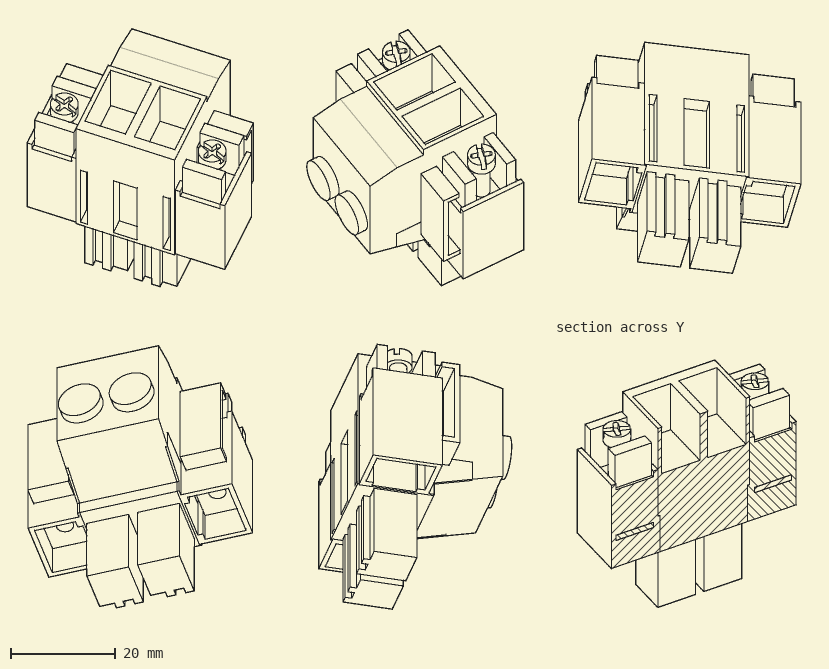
import cadquery as cq


pole_count = 2
pole_pitch = 10.15
pole_width = 8.35
housing_half_width = pole_count * pole_pitch / 2
side_wall = (pole_pitch - pole_width) / 2
pole_centres = [(i - (pole_count - 1) / 2) * pole_pitch for i in range(pole_count)]

overall_height = 44.1
prong_length = 14.4
housing_height = overall_height - prong_length
housing_depth = 28.58
head_depth = 16.5
shoulder_height = 28.1
shoulder_depth = 22.45
back_top = 26.5
back_bottom = 6.45
foot_depth = 15.1
foot_height = 2.6

pocket_front = 2.35
pocket_back = 15.52
pocket_depth = 11.02

slot_bottom = 0.93
slot_top = 17.1
slot_depth = 3.05
side_slot_width = 1.45
centre_slot_width = 4.9

collar_height = 14.2
collar_projection = 2.05

prong_front = 2.15
prong_back = 11.9
prong_rib_width = 1.7
prong_groove_width = 1.95
prong_groove_depth = 1.3

flange_half_span = 20.35
flange_front = 0.3
flange_back = 14.0
flange_height = 19.95
flange_wall = 1.0
post_depth = 2.5
notch_floor = 18.5
plate_thickness = 0.45
plate_back = 22.6
plate_top = 8.65

latch_clearance = 0.1
latch_inner_x = housing_half_width + flange_wall
latch_outer_x = flange_half_span - flange_wall - latch_clearance
latch_front = flange_front + flange_wall + latch_clearance
latch_back = flange_back - flange_wall - latch_clearance
latch_top = 26.25
latch_groove_floor = 16.45
front_leg = 2.07
back_leg = 2.55
hook_thickness = 1.1
hook_bottom = 6.45
hook_top = 24.35
hook_back = 17.75
hook_lip_front = 14.2

screw_x = (latch_inner_x + latch_outer_x) / 2
screw_y = 6.6
head_diameter = 5.3
head_top = 27.0
head_bottom = 24.35
shank_diameter = 3.3
drive_depth = 1.3
drive_angle = -21.0
drive_root = 0.6
drive_end = 0.5
drive_arm = 1.75
drive_tip = 2.07


def box(x0, x1, y0, y1, z0, z1):
    """Block between two corners, the X limits in either order."""
    return (
        cq.Workplane("XY")
        .box(abs(x1 - x0), y1 - y0, z1 - z0, centered=False)
        .translate((min(x0, x1), y0, z0))
    )


def cylinder_up(x, y, z0, z1, diameter):
    return cq.Workplane("XY").center(x, y).circle(diameter / 2).extrude(z1 - z0).translate((0, 0, z0))


def housing_envelope():
    """Side profile of the housing, extruded over its full width."""
    return (
        cq.Workplane("YZ")
        .polyline([
            (0, 0),
            (0, housing_height),
            (head_depth, housing_height),
            (head_depth, shoulder_height),
            (shoulder_depth, shoulder_height),
            (housing_depth, back_top),
            (housing_depth, back_bottom),
            (foot_depth, foot_height),
            (foot_depth, 0),
        ])
        .close()
        .extrude(housing_half_width, both=True)
    )


def mounting_plate(side):
    """Lower side region of the housing that the flange on that side (-1 or 1) fills."""
    region = box(
        side * (housing_half_width - plate_thickness), side * housing_half_width,
        flange_front, plate_back, 0, plate_top,
    )
    return region.intersect(housing_envelope())


def plug_prong(centre):
    """Plug prong below the housing with two grooves along its front."""
    left = centre - pole_width / 2
    right = centre + pole_width / 2
    groove_back = prong_front + prong_groove_depth
    prong = box(left, right, prong_front, prong_back, -prong_length, 0)
    first_groove = left + prong_rib_width
    second_groove = first_groove + prong_groove_width + prong_rib_width
    for x0, x1 in [(first_groove, first_groove + prong_groove_width), (second_groove, right)]:
        prong = prong.cut(box(x0, x1, prong_front, groove_back, -prong_length, 0))
    return prong


def front_slots():
    """One wide slot at the middle of the front and a narrow one at each side."""
    slot_outer = housing_half_width - side_wall
    slots = box(-centre_slot_width / 2, centre_slot_width / 2, 0, slot_depth, slot_bottom, slot_top)
    for side in (-1, 1):
        slots = slots.union(box(
            side * (slot_outer - side_slot_width), side * slot_outer,
            0, slot_depth, slot_bottom, slot_top,
        ))
    return slots


def make_housing():
    body = housing_envelope()
    for centre in pole_centres:
        left = centre - pole_width / 2
        right = centre + pole_width / 2
        pocket_floor = housing_height - pocket_depth
        collar = (
            cq.Workplane("XZ", origin=(centre, housing_depth, collar_height))
            .circle(pole_width / 2)
            .extrude(-collar_projection)
        )
        body = body.cut(box(left, right, pocket_front, pocket_back, pocket_floor, housing_height))
        body = body.union(collar).union(plug_prong(centre))
    body = body.cut(front_slots())
    for side in (-1, 1):
        body = body.cut(mounting_plate(side))
    return body


def make_flange(side):
    """Open sleeve around the latch, joined to its mounting plate by two posts."""
    inner = side * housing_half_width
    outer = side * flange_half_span
    cavity_outer = side * (flange_half_span - flange_wall)
    post_outer = side * latch_inner_x
    cavity_front = flange_front + flange_wall
    cavity_back = flange_back - flange_wall

    flange = box(inner, outer, flange_front, flange_back, 0, flange_height)
    latch_space = box(post_outer, cavity_outer, cavity_front, cavity_back, 0, flange_height)
    post_gap = box(inner, post_outer, flange_front + post_depth, flange_back - post_depth, 0, flange_height)
    notch = box(post_outer, cavity_outer, flange_front, flange_back, notch_floor, flange_height)
    hook_window = box(
        post_outer, side * latch_outer_x, cavity_back, flange_back,
        hook_bottom, hook_bottom + hook_thickness,
    )
    for opening in (latch_space, post_gap, notch, hook_window):
        flange = flange.cut(opening)
    return flange.union(mounting_plate(side))


def make_latch(side):
    """Block with two upright legs and a rear hook, bored for the flange screw."""
    inner = side * latch_inner_x
    outer = side * latch_outer_x
    upright_front = hook_back - hook_thickness

    latch = box(inner, outer, latch_front, latch_back, hook_bottom, latch_top)
    leg_gap = box(
        inner, outer, latch_front + front_leg, latch_back - back_leg,
        latch_groove_floor, latch_top,
    )
    hook_foot = box(inner, outer, latch_back, hook_back, hook_bottom, hook_bottom + hook_thickness)
    hook_upright = box(inner, outer, upright_front, hook_back, hook_bottom, hook_top)
    hook_lip = box(inner, outer, hook_lip_front, hook_back, hook_top - hook_thickness, hook_top)
    bore = cylinder_up(side * screw_x, screw_y, hook_bottom, latch_groove_floor, shank_diameter)
    return latch.cut(leg_gap).union(hook_foot).union(hook_upright).union(hook_lip).cut(bore)


def screw_drive(side):
    """Combined drive recess: a tapering slot through the rim, crossed by short round-ended arms."""
    rim = head_diameter / 2
    slot = (
        cq.Workplane("XY")
        .polyline([
            (-rim, -drive_end), (0, -drive_root), (rim, -drive_end),
            (rim, drive_end), (0, drive_root), (-rim, drive_end),
        ])
        .close()
        .extrude(drive_depth)
    )
    arms = (
        cq.Workplane("XY")
        .moveTo(-drive_root, 0)
        .lineTo(-drive_end, drive_arm)
        .threePointArc((0, drive_tip), (drive_end, drive_arm))
        .lineTo(drive_root, 0)
        .lineTo(drive_end, -drive_arm)
        .threePointArc((0, -drive_tip), (-drive_end, -drive_arm))
        .close()
        .extrude(drive_depth)
    )
    recess = slot.union(arms).rotate((0, 0, 0), (0, 0, 1), drive_angle)
    return recess.translate((side * screw_x, screw_y, head_top - drive_depth))


def make_screw(side):
    """Flange screw whose shank ends flush with the underside of the latch."""
    x = side * screw_x
    head = cylinder_up(x, screw_y, head_bottom, head_top, head_diameter)
    shank = cylinder_up(x, screw_y, hook_bottom, head_bottom, shank_diameter)
    return head.union(shank).cut(screw_drive(side))


housing = make_housing()
bodies = [housing.solids().val()]
for side in (-1, 1):
    bodies.append(make_flange(side).solids().val())
    bodies.append(make_latch(side).solids().val())
    bodies.append(make_screw(side).solids().val())

result = cq.Compound.makeCompound(bodies)